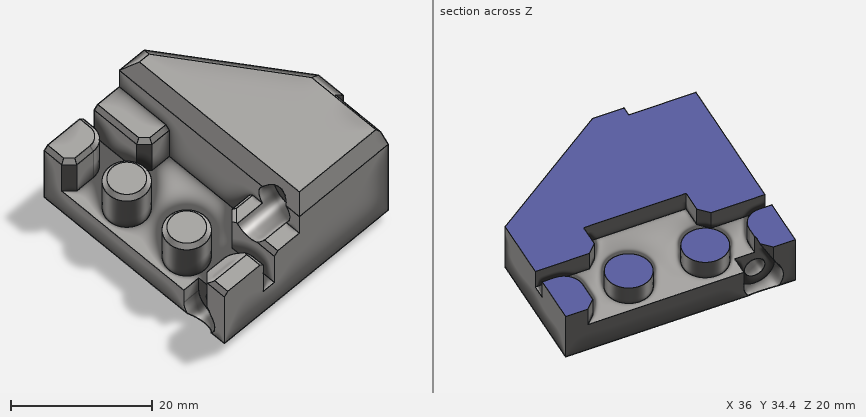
import cadquery as cq
import math

width = 36.0
depth = 34.35
height = 20.0
outer_chamfer = 2.0

slant_start_y = 20.0
slant_end_x = 20.52
step_x = 25.5
step_y = 32.8

floor_z = 7.0
block_top_z = 14.0
tower_front_y = 15.0

rear_block_width = 10.0
rear_block_front_y = 10.0
front_block_width = 5.0
front_block_rear_y = 7.8
block_corner_chamfer = 1.5
block_corner_radius = 3.0
top_edge_chamfer = 0.7

pin_diameter = 7.0
pin_spacing = 12.0
pin_y = 4.5

screw_x = 31.0
lower_screw_z = 4.0
upper_screw_z = 16.0
screw_diameter = 3.2
head_diameter = 6.2
lower_seat_y = 3.0
upper_seat_y = 18.0
recess_slope = 60.0


def footprint_prism(front_y, bottom_z, top_z):
    """Part outline behind front_y, extruded between two levels."""
    outline = [
        (0, front_y),
        (width, front_y),
        (width, depth),
        (slant_end_x, depth),
        (0, slant_start_y),
    ]
    plane = cq.Workplane("XY", origin=(0, 0, bottom_z))
    return plane.polyline(outline).close().extrude(top_z - bottom_z)


def left_block(block_width, front_y, rear_y):
    """Plain block at the left side, from the floor to the block top."""
    return cq.Workplane("XY").box(
        block_width, rear_y - front_y, block_top_z - floor_z, centered=False
    ).translate((0, front_y, floor_z))


def mirrored(block):
    """Mirror image of a left block at the right side."""
    return block.mirror("YZ").translate((width, 0, 0))


def rear_blocks():
    block = left_block(rear_block_width, rear_block_front_y, tower_front_y)
    block = block.edges("|Z and >X and <Y").chamfer(block_corner_chamfer)
    left = block.faces(">Z").edges("not(<X or >Y)").chamfer(top_edge_chamfer)
    right = mirrored(block.faces(">Z").edges("not(<X or >Y or <Y)").chamfer(top_edge_chamfer))
    bevel = (
        cq.Workplane("YZ", origin=(screw_x, rear_block_front_y, block_top_z))
        .polyline([(0, 0), (top_edge_chamfer, 0), (0, -top_edge_chamfer)])
        .close()
        .extrude(width - screw_x)
    )
    return left.union(right.cut(bevel))


def front_blocks():
    block = left_block(front_block_width, 0, front_block_rear_y)
    block = block.edges("|Z and >X and <Y").chamfer(block_corner_chamfer)
    block = block.edges("|Z and >X and >Y").fillet(block_corner_radius)
    block = block.faces(">Z").edges("not <X").chamfer(top_edge_chamfer)
    return block.union(mirrored(block))


def pin(center_x):
    cylinder = cq.Workplane("XY").circle(pin_diameter / 2).extrude(block_top_z - floor_z)
    return cylinder.faces(">Z").chamfer(top_edge_chamfer).translate((center_x, pin_y, floor_z))


def y_cylinder(diameter, center_z, length):
    """Cylinder on the screw line, running back from the front face."""
    return cq.Workplane("XZ", origin=(screw_x, 0, center_z)).circle(diameter / 2).extrude(-length)


def lower_head_recess():
    """Head recess opened upward by an upright left side and a sloping right side."""
    radius = head_diameter / 2
    slope = math.radians(recess_slope)
    tangent_point = (radius * math.sin(slope), radius * math.cos(slope))
    peak_z = radius * (1 + math.sin(slope)) / math.cos(slope)
    return (
        cq.Workplane("XZ", origin=(screw_x, 0, lower_screw_z))
        .moveTo(-radius, 0)
        .threePointArc((0, -radius), tangent_point)
        .lineTo(-radius, peak_z)
        .close()
        .extrude(-lower_seat_y)
    )


base = footprint_prism(0, 0, floor_z).faces("<Z").chamfer(outer_chamfer)
tower = footprint_prism(tower_front_y, floor_z, height).faces(">Z").chamfer(outer_chamfer)
body = base.union(tower).union(rear_blocks()).union(front_blocks())

for side in (-1, 1):
    body = body.union(pin(width / 2 + side * pin_spacing / 2))

step = cq.Workplane("XY").box(width - step_x, depth - step_y, height, centered=False)
body = body.cut(step.translate((step_x, step_y, 0)))

for screw_z in (lower_screw_z, upper_screw_z):
    body = body.cut(y_cylinder(screw_diameter, screw_z, depth))
body = body.cut(y_cylinder(head_diameter, upper_screw_z, upper_seat_y))
body = body.cut(lower_head_recess())

result = body